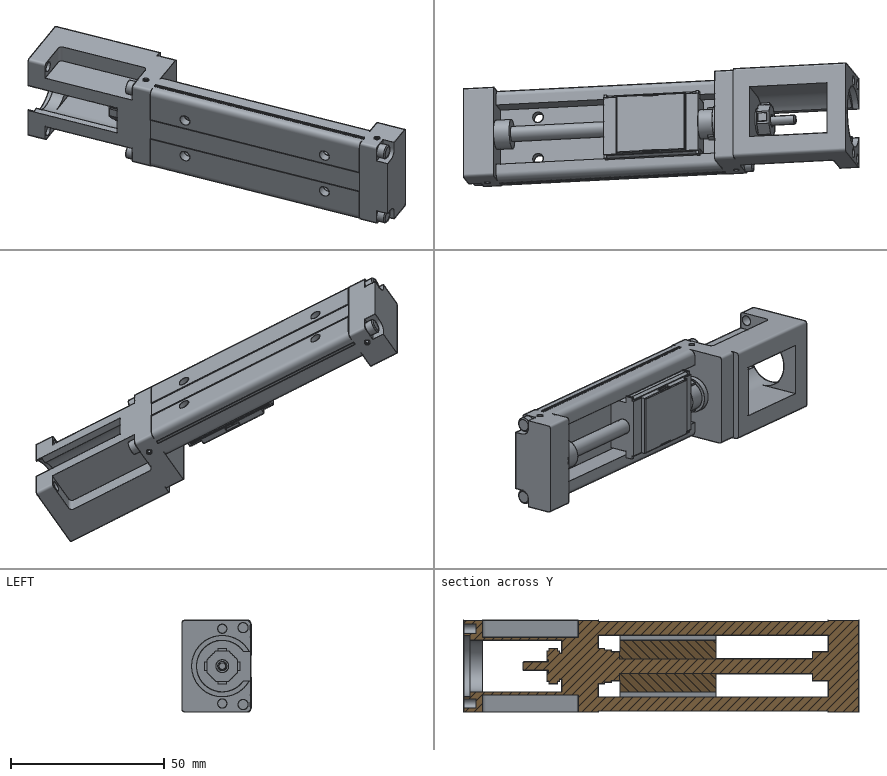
import cadquery as cq


length = 129.0
width = 30.0
top_y = 22.8
half_width = width / 2
axis_y = 9.6
foot_y = 0.4

housing_end_x = 44.0
housing_step_x = 37.4
housing_step_y = 20.9
housing_round = 1.0
front_wall = 6.2
pilot_diameter = 20.0
pilot_depth = 2.0
coupling_diameter = 16.8
coupling_end_x = 32.0
window_width = 9.7
pocket_depth = 5.5
pocket_top_y = 12.0
pocket_corner_radius = 1.2
motor_hole_diameter = 3.0
motor_hole_depth = 4.0
motor_hole_z = 12.2

screw_y = 2.8
screw_z = 12.55
head_diameter = 4.6
housing_head_height = 2.4
end_head_height = 2.9
end_head_chamfer = 0.4
driver_hole_diameter = 3.3

rail_end_x = 119.0
rail_height = 10.0
rail_round = 2.0
channel_width = 20.0
channel_floor_y = 3.0
side_groove_y = 3.9
side_groove_height = 0.9
side_groove_depth = 0.3
base_groove_width = 7.4
base_groove_depth = 0.3
mount_hole_diameter = 3.5
mount_hole_pitch_x = 50.0
mount_hole_z = 7.0
mount_center_x = (housing_end_x + rail_end_x) / 2

end_block_top_y = 14.6
end_block_round = 0.85
notch_x = 125.0
notch_size = 5.2
notch_corner_radius = 2.6

plug_diameter = 1.9
plug_depth = 0.5
plug_bore_diameter = 1.0
plug_bore_depth = 3.0
plug_y = 5.7
plug_xs = (39.9, 122.8)

shaft_tip_x = 19.3
shaft_diameter = 3.0
shaft_chamfer = 0.4
nut_start_x = 27.2
nut_end_x = 31.3
nut_across_flats = 10.0
nut_neck_diameter = 8.6
nut_recess_diameter = 4.2
nut_recess_depth = 0.4
nut_pad_length = 2.9
nut_pad_width = 2.7
nut_pad_span = 11.6
ball_screw_diameter = 5.0
flange_diameter = 11.6
flange_end_x = 46.0
bumper_diameter = 9.6
carriage_start_x = 51.0
end_bumper_x = 113.8
lip_end_x = 48.2
lip_top_y = 11.7
lip_diameter = 10.6

carriage_length = 31.4
carriage_width = 21.0
carriage_bottom_y = 4.5
carriage_neck_width = 17.0
overhang_y = 10.5
shoulder_y = 12.1
bevel_top_y = 13.0
bevel_inset = 0.7
deck_y = 13.7
deck_width = 19.2
cap_length = 0.8
cap_width = 21.3
table_start_x = 55.0
table_length = 23.0
table_top_y = 15.2
table_chamfer = 0.3
table_recess_start_x = 64.0
table_recess_length = 5.0
table_recess_bottom_y = 13.3
table_recess_top_y = 14.9
table_recess_depth = 0.5

sides = (-1, 1)


def block(x0, x1, y0, y1, z0, z1):
    """Box between two opposite corners."""
    return cq.Workplane("XY").box(x1 - x0, y1 - y0, z1 - z0, centered=False).translate((x0, y0, z0))


def centered_block(x0, x1, y0, y1, size_z):
    """Box placed symmetrically about Z = 0."""
    return block(x0, x1, y0, y1, -size_z / 2, size_z / 2)


def rod(x0, x1, diameter, y=axis_y, z=0.0):
    """Cylinder running along X."""
    return cq.Workplane("YZ", origin=(x0, y, z)).circle(diameter / 2).extrude(x1 - x0)


def make_housing():
    """Motor housing, open toward -Y through a slot and toward +Y over the coupling."""
    body = centered_block(0, housing_step_x, foot_y, top_y, width).edges("|X").fillet(housing_round)
    bearing_end = centered_block(housing_step_x, housing_end_x, foot_y, housing_step_y, width)
    body = body.union(bearing_end.edges("|X").fillet(housing_round))

    body = body.cut(rod(0, pilot_depth, pilot_diameter))
    body = body.cut(rod(0, coupling_end_x, coupling_diameter))
    body = body.cut(centered_block(front_wall, coupling_end_x, axis_y, top_y, coupling_diameter))
    body = body.cut(centered_block(0, coupling_end_x, foot_y, axis_y, window_width))

    for side in sides:
        pocket = block(front_wall, housing_step_x, foot_y - pocket_corner_radius, pocket_top_y,
                       half_width - pocket_depth, half_width)
        pocket = pocket.edges("|Z and >Y").fillet(pocket_corner_radius)
        if side < 0:
            pocket = pocket.mirror("XY")
        body = body.cut(pocket)
        body = body.cut(rod(0, motor_hole_depth, motor_hole_diameter, z=side * motor_hole_z))
        body = body.cut(rod(0, front_wall, driver_hole_diameter, screw_y, side * screw_z))
        head_start_x = housing_step_x - housing_head_height
        body = body.union(rod(head_start_x, housing_step_x, head_diameter, screw_y, side * screw_z))
    return body


def make_rail():
    """U-shaped guide rail with grooves and four mounting holes."""
    body = centered_block(housing_end_x, rail_end_x, 0, rail_height, width)
    body = body.edges("|X").fillet(rail_round)
    body = body.cut(centered_block(housing_end_x, rail_end_x, channel_floor_y, rail_height, channel_width))
    body = body.cut(centered_block(housing_end_x, rail_end_x, 0, base_groove_depth, base_groove_width))
    for side in sides:
        groove = centered_block(housing_end_x, rail_end_x, side_groove_y - side_groove_height / 2,
                                side_groove_y + side_groove_height / 2, 2 * side_groove_depth)
        body = body.cut(groove.translate((0, 0, side * half_width)))
    holes = (
        cq.Workplane("XZ", origin=(mount_center_x, 0, 0))
        .rarray(mount_hole_pitch_x, 2 * mount_hole_z, 2, 2)
        .circle(mount_hole_diameter / 2)
        .extrude(-channel_floor_y)
    )
    return body.cut(holes)


def make_end_block():
    """Support block at the far end, with a corner notch for each screw head."""
    body = centered_block(rail_end_x, length, foot_y, end_block_top_y, width)
    body = body.edges("|X").fillet(end_block_round)
    for side in sides:
        notch = block(notch_x, length, foot_y, foot_y + notch_size, half_width - notch_size, half_width)
        notch = notch.edges("|X and >Y and <Z").fillet(notch_corner_radius)
        if side < 0:
            notch = notch.mirror("XY")
        head = rod(notch_x, notch_x + end_head_height, head_diameter, screw_y, side * screw_z)
        body = body.cut(notch).union(head.faces(">X").chamfer(end_head_chamfer))
    return body


def make_shaft_end():
    """Drive shaft tip with its octagonal lock nut, which has a pad on every second flat."""
    nut = cq.Workplane("YZ", origin=(nut_start_x, axis_y, 0)).polygon(8, nut_across_flats, circumscribed=True)
    nut = nut.extrude(nut_end_x - nut_start_x)
    nut_center_x = (nut_start_x + nut_end_x) / 2
    pad = cq.Workplane("XY").box(nut_pad_length, nut_pad_span, nut_pad_width)
    pad = pad.translate((nut_center_x, axis_y, 0))
    for angle in (0, 90):
        nut = nut.union(pad.rotate((0, axis_y, 0), (1, axis_y, 0), angle))
    nut = nut.cut(rod(nut_start_x, nut_start_x + nut_recess_depth, nut_recess_diameter))
    neck = rod(nut_end_x, coupling_end_x, nut_neck_diameter)
    shaft = rod(shaft_tip_x, nut_end_x, shaft_diameter).faces("<X").chamfer(shaft_chamfer)
    return nut.union(neck).union(shaft)


def make_screw_and_bumpers():
    """Ball screw inside the rail with the stop bumpers at both ends."""
    body = rod(housing_end_x, rail_end_x, ball_screw_diameter)
    body = body.union(rod(housing_end_x, flange_end_x, flange_diameter))
    body = body.union(rod(flange_end_x, carriage_start_x, bumper_diameter))
    body = body.union(rod(end_bumper_x, rail_end_x, bumper_diameter))
    lip = rod(flange_end_x, lip_end_x, lip_diameter)
    lip = lip.intersect(centered_block(flange_end_x, lip_end_x, 0, lip_top_y, lip_diameter))
    return body.union(lip)


def make_actuator():
    """Housing, rail, end block and screw as one body."""
    body = make_housing().union(make_rail()).union(make_end_block())
    for plug_x in plug_xs:
        for side in sides:
            face = cq.Workplane("XY", origin=(plug_x, plug_y, side * half_width))
            body = body.cut(face.circle(plug_diameter / 2).extrude(-side * plug_depth))
            body = body.cut(face.circle(plug_bore_diameter / 2).extrude(-side * plug_bore_depth))
    return body.union(make_shaft_end()).union(make_screw_and_bumpers())


def make_carriage():
    """Carriage riding on the ball screw, with end caps and a raised table."""
    end_x = carriage_start_x + carriage_length
    profile = (
        cq.Workplane("YZ", origin=(carriage_start_x, 0, 0))
        .moveTo(overhang_y, 0)
        .lineTo(overhang_y, carriage_width / 2)
        .lineTo(shoulder_y, carriage_width / 2)
        .lineTo(bevel_top_y, carriage_width / 2 - bevel_inset)
        .lineTo(bevel_top_y, deck_width / 2)
        .lineTo(deck_y, deck_width / 2)
        .lineTo(deck_y, 0)
        .mirrorX()
    )
    body = profile.extrude(carriage_length)
    neck = centered_block(carriage_start_x, end_x, carriage_bottom_y, overhang_y, carriage_neck_width)
    body = body.union(neck)
    for cap_x in (carriage_start_x, end_x - cap_length):
        body = body.union(centered_block(cap_x, cap_x + cap_length, overhang_y, bevel_top_y, cap_width))

    table = centered_block(table_start_x, table_start_x + table_length, bevel_top_y, table_top_y, deck_width)
    table = table.faces(">Y").chamfer(table_chamfer)
    for side in sides:
        recess = centered_block(table_recess_start_x, table_recess_start_x + table_recess_length,
                                table_recess_bottom_y, table_recess_top_y, 2 * table_recess_depth)
        table = table.cut(recess.translate((0, 0, side * deck_width / 2)))
    body = body.union(table)
    return body.cut(rod(carriage_start_x, end_x, ball_screw_diameter))


actuator = make_actuator()
carriage = make_carriage()

result = cq.Compound.makeCompound([actuator.val(), carriage.val()])